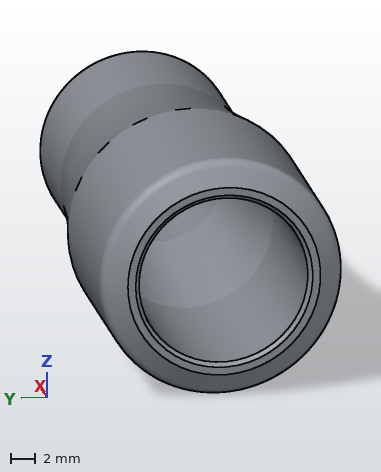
import cadquery as cq
import math

length = 38.0
body_end = 15.0
neck_start = 28.0

body_radius = 20.0 / 2
neck_radius = 16.0 / 2
socket_radius = 14.0 / 2
bore_radius = 11.0 / 2

bevel_angle = math.radians(60)
body_bevel_height = 2.0
neck_bevel_height = 1.52
bevel_blend_radius = 1.0

body_taper_blend_radius = 0.5
neck_blend_radius = 2.0
neck_blend_length = 0.23

mouth_chamfer = 0.35
taper_sag = 0.2

body_bevel_length = body_bevel_height / math.tan(bevel_angle)
neck_bevel_length = neck_bevel_height / math.tan(bevel_angle)

neck_blend_rise = neck_blend_radius - math.sqrt(neck_blend_radius**2 - neck_blend_length**2)
taper_end = (neck_start - neck_blend_length / 2, neck_radius + neck_blend_rise)
neck_blend_end = (neck_start + neck_blend_length / 2, neck_radius)

taper_middle = (
    (body_end + taper_end[0]) / 2,
    (body_radius + taper_end[1]) / 2 - taper_sag,
)
outer = (
    cq.Workplane("XY")
    .lineTo(0, body_radius - body_bevel_height)
    .lineTo(body_bevel_length, body_radius)
    .lineTo(body_end, body_radius)
    .threePointArc(taper_middle, taper_end)
    .tangentArcPoint(neck_blend_end, relative=False)
    .lineTo(length - neck_bevel_length, neck_radius)
    .lineTo(length, neck_radius - neck_bevel_height)
    .lineTo(length, 0)
    .close()
    .revolve(360, (0, 0, 0), (1, 0, 0))
)


def blend_edge_at(solid, x, radius):
    """Round the circular outer edge lying in the plane at x."""
    margin = 0.05
    reach = 2 * body_radius
    box = cq.selectors.BoxSelector(
        (x - margin, -reach, -reach), (x + margin, reach, reach), boundingbox=True
    )
    return solid.edges(box).fillet(radius)


outer = blend_edge_at(outer, body_bevel_length, bevel_blend_radius)
outer = blend_edge_at(outer, length - neck_bevel_length, bevel_blend_radius)
outer = blend_edge_at(outer, body_end, body_taper_blend_radius)

bore = (
    cq.Workplane("XY")
    .lineTo(0, socket_radius + mouth_chamfer)
    .lineTo(mouth_chamfer, socket_radius)
    .lineTo(body_end, socket_radius)
    .lineTo(neck_start, bore_radius)
    .lineTo(length, bore_radius)
    .lineTo(length, 0)
    .close()
    .revolve(360, (0, 0, 0), (1, 0, 0))
)

result = outer.cut(bore)